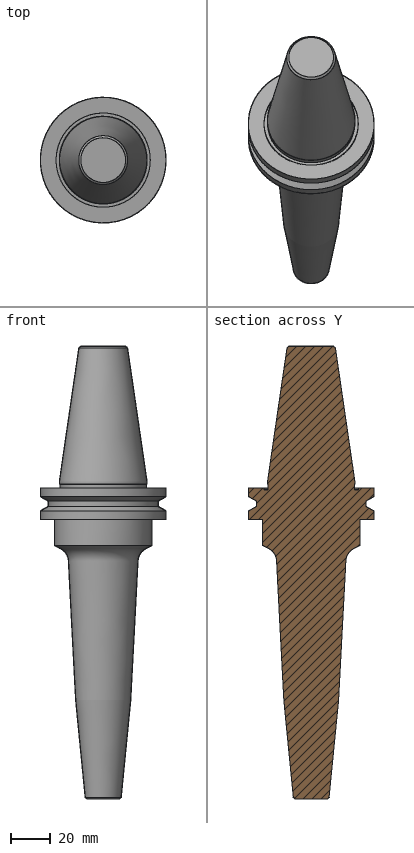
import cadquery as cq

TAPER_LENGTH = 68.3
OVERALL_LENGTH = 228.5
TOP_Z = TAPER_LENGTH
TIP_Z = TOP_Z - OVERALL_LENGTH
FLANGE_TOP_Z = -3.2
NECK_TOP_Z = -1.1
FLANGE_BOTTOM_Z = -19.2
COLLAR_BOTTOM_Z = -32.2
FILLET_TOP_Z = -33.5
FILLET_MID_Z = -36.0
FILLET_BOTTOM_Z = -40.5
NOSE_TOP_Z = -110.3

GAUGE_RADIUS = 22.2
TAPER_SLOPE = 7 / 48
TAPER_END_RADIUS = GAUGE_RADIUS - TAPER_SLOPE * TAPER_LENGTH
FLANGE_RADIUS = 31.7
COLLAR_RADIUS = 24.7
FILLET_TOP_RADIUS = 22.2
SHANK_RADIUS = 17.5
FILLET_MID_RADIUS = 19.0
NOSE_RADIUS = 14.0
TIP_RADIUS = 9.1

NECK_STEP = 0.2
NECK_RADIUS = GAUGE_RADIUS - NECK_STEP
RECESS_RADIUS = 23.8
RECESS_DEPTH = 1.0

TOP_CHAMFER = 1.0
TIP_CHAMFER = 1.0

GROOVE_CENTRE_Z = -11.2
GROOVE_MOUTH = 7.0
GROOVE_FLOOR = 2.7
GROOVE_FLOOR_RADIUS = 27.9


def make_body():
    """Revolve the half profile, drawn from the top of the axis down to the tip."""
    profile = (
        cq.Workplane("XZ")
        .moveTo(0, TOP_Z)
        .lineTo(TAPER_END_RADIUS - TOP_CHAMFER, TOP_Z)
        .lineTo(TAPER_END_RADIUS + TAPER_SLOPE * TOP_CHAMFER, TOP_Z - TOP_CHAMFER)
        .lineTo(GAUGE_RADIUS, 0)
        .lineTo(GAUGE_RADIUS, NECK_TOP_Z)
        .lineTo(NECK_RADIUS, NECK_TOP_Z - NECK_STEP)
        .lineTo(NECK_RADIUS, FLANGE_TOP_Z - RECESS_DEPTH)
        .lineTo(RECESS_RADIUS, FLANGE_TOP_Z - RECESS_DEPTH)
        .lineTo(RECESS_RADIUS, FLANGE_TOP_Z)
        .lineTo(FLANGE_RADIUS, FLANGE_TOP_Z)
        .lineTo(FLANGE_RADIUS, FLANGE_BOTTOM_Z)
        .lineTo(COLLAR_RADIUS, FLANGE_BOTTOM_Z)
        .lineTo(COLLAR_RADIUS, COLLAR_BOTTOM_Z)
        .lineTo(FILLET_TOP_RADIUS, FILLET_TOP_Z)
        .threePointArc((FILLET_MID_RADIUS, FILLET_MID_Z), (SHANK_RADIUS, FILLET_BOTTOM_Z))
        .lineTo(NOSE_RADIUS, NOSE_TOP_Z)
        .lineTo(TIP_RADIUS, TIP_Z + TIP_CHAMFER)
        .lineTo(TIP_RADIUS - TIP_CHAMFER, TIP_Z)
        .lineTo(0, TIP_Z)
        .close()
    )
    return profile.revolve(360, (0, 0, 0), (0, 1, 0))


def make_flange_groove():
    """Ring with a trapezoidal section that cuts the V-groove."""
    profile = (
        cq.Workplane("XZ")
        .moveTo(FLANGE_RADIUS, GROOVE_CENTRE_Z + GROOVE_MOUTH / 2)
        .lineTo(GROOVE_FLOOR_RADIUS, GROOVE_CENTRE_Z + GROOVE_FLOOR / 2)
        .lineTo(GROOVE_FLOOR_RADIUS, GROOVE_CENTRE_Z - GROOVE_FLOOR / 2)
        .lineTo(FLANGE_RADIUS, GROOVE_CENTRE_Z - GROOVE_MOUTH / 2)
        .close()
    )
    return profile.revolve(360, (0, 0, 0), (0, 1, 0))


result = make_body().cut(make_flange_groove())